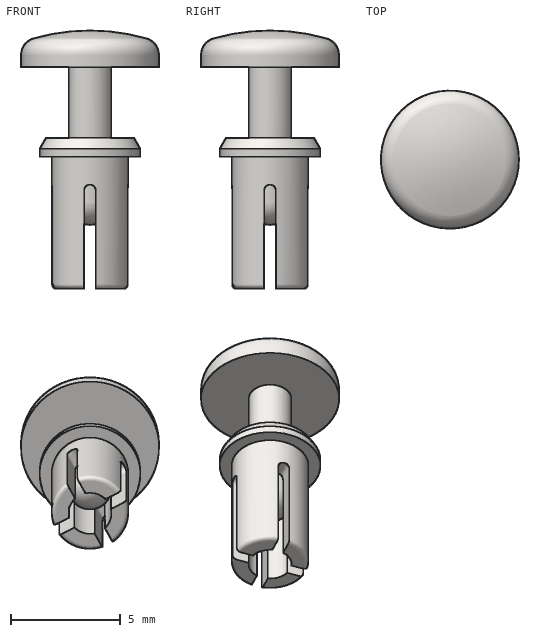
import cadquery as cq
import math

total_height = 11.78
head_diameter = 6.3
head_underside_z = 10.11
dome_radius = 9.31
head_edge_radius = 0.8
pin_diameter = 1.95
pin_tip_z = 2.91

sleeve_diameter = 3.5
sleeve_foot_radius = 0.2
flange_diameter = 4.6
flange_underside_z = 6.02
flange_top_z = 6.88
flange_bevel_height = 0.5
flange_bevel_width = 0.28
slot_width = 0.53
slot_top_z = 4.75


def make_head():
    """Revolved disc whose spherical dome runs tangent into a rounded outer edge."""
    head_radius = head_diameter / 2
    dome_center_z = total_height - dome_radius

    edge_center_x = head_radius - head_edge_radius
    edge_center_distance = dome_radius - head_edge_radius
    edge_center_z = dome_center_z + math.sqrt(edge_center_distance**2 - edge_center_x**2)
    dome_half_angle = math.asin(edge_center_x / edge_center_distance)

    def dome_point(angle):
        return dome_radius * math.sin(angle), dome_center_z + dome_radius * math.cos(angle)

    edge_mid_angle = (dome_half_angle + math.pi / 2) / 2
    edge_midpoint = (
        edge_center_x + head_edge_radius * math.sin(edge_mid_angle),
        edge_center_z + head_edge_radius * math.cos(edge_mid_angle),
    )
    return (
        cq.Workplane("XZ")
        .moveTo(0, head_underside_z)
        .lineTo(head_radius, head_underside_z)
        .lineTo(head_radius, edge_center_z)
        .threePointArc(edge_midpoint, dome_point(dome_half_angle))
        .threePointArc(dome_point(dome_half_angle / 2), (0, total_height))
        .close()
        .revolve(360, (0, 0, 0), (0, 1, 0))
    )


def make_pin():
    """Straight shank ending in a hemisphere."""
    pin_radius = pin_diameter / 2
    tip_center_z = pin_tip_z + pin_radius
    shank = (
        cq.Workplane("XY", origin=(0, 0, tip_center_z))
        .circle(pin_radius)
        .extrude(head_underside_z - tip_center_z)
    )
    tip = cq.Workplane("XY", origin=(0, 0, tip_center_z)).sphere(pin_radius)
    return shank.union(tip)


def make_plunger():
    return make_head().union(make_pin())


def make_flange():
    """Collar with a bevelled upper edge."""
    return (
        cq.Workplane("XY", origin=(0, 0, flange_underside_z))
        .circle(flange_diameter / 2)
        .extrude(flange_top_z - flange_underside_z)
        .faces(">Z")
        .chamfer(flange_bevel_height, flange_bevel_width)
    )


def make_slot_cutter():
    """Round-topped slot through the full sleeve along Y, open at the bottom."""
    half_width = slot_width / 2
    arc_center_z = slot_top_z - half_width
    return (
        cq.Workplane("XZ")
        .moveTo(-half_width, 0)
        .lineTo(-half_width, arc_center_z)
        .threePointArc((0, slot_top_z), (half_width, arc_center_z))
        .lineTo(half_width, 0)
        .close()
        .extrude(sleeve_diameter, both=True)
    )


def make_sleeve():
    """Flanged tube, bored for the pin and split by two crossing slots."""
    tube = (
        cq.Workplane("XY")
        .circle(sleeve_diameter / 2)
        .extrude(flange_underside_z)
        .faces("<Z")
        .edges()
        .fillet(sleeve_foot_radius)
    )
    bore = cq.Workplane("XY").circle(pin_diameter / 2).extrude(flange_top_z)
    sleeve = tube.union(make_flange()).cut(bore)
    for angle in (0, 90):
        sleeve = sleeve.cut(make_slot_cutter().rotate((0, 0, 0), (0, 0, 1), angle))
    return sleeve


plunger = make_plunger()
sleeve = make_sleeve()

result = cq.Compound.makeCompound([plunger.val(), sleeve.val()])